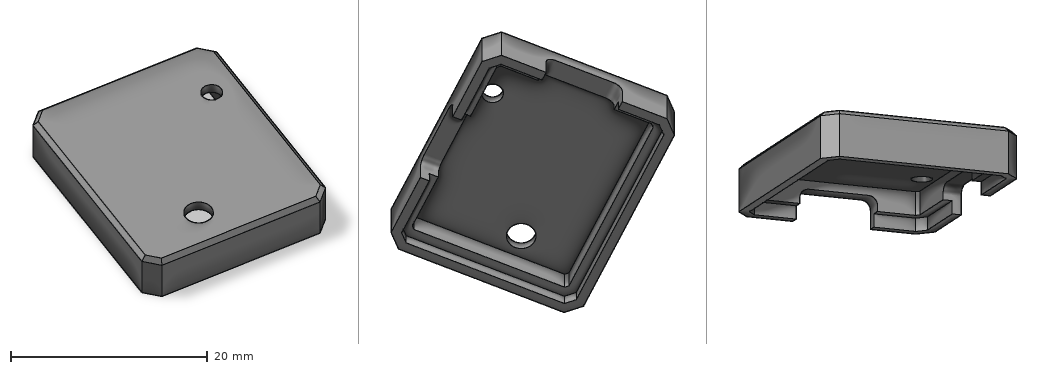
import cadquery as cq
import math

LENGTH = 25.5
WIDTH = 21.5
HEIGHT = 5.0
CORNER_CHAMFER = 1.5
TOP_CHAMFER = 0.5

ROOF_THICKNESS = 1.1
WALL_THICKNESS = 2.0
REBATE_WALL_THICKNESS = 1.0
REBATE_DEPTH = 1.4

OPENING_HEIGHT = 3.0
OPENING_CORNER_RADIUS = 1.0
LEFT_OPENING_WIDTH = 8.5
BACK_OPENING_WIDTH = 8.0

ROOF_HOLES = [
    (-6.0, 7.2, 2.2),
    (8.4, -2.5, 3.0),
]


def chamfered_block(inset, height):
    """Block on z = 0 whose outline is the body outline moved inward by inset."""
    corner = CORNER_CHAMFER - inset * (2 - math.sqrt(2))
    return (
        cq.Workplane("XY")
        .box(LENGTH - 2 * inset, WIDTH - 2 * inset, height, centered=(True, True, False))
        .edges("|Z")
        .chamfer(corner)
    )


def wall_opening(width, depth):
    """Cutter for an opening with rounded upper corners, running from the origin along +Y."""
    return (
        cq.Workplane("XY")
        .box(width, depth, OPENING_HEIGHT, centered=(True, False, False))
        .edges("|Y and >Z")
        .fillet(OPENING_CORNER_RADIUS)
    )


def make_body():
    return chamfered_block(0, HEIGHT).faces(">Z").chamfer(TOP_CHAMFER)


def cut_underside(part):
    cavity = chamfered_block(WALL_THICKNESS, HEIGHT - ROOF_THICKNESS)
    rebate = chamfered_block(REBATE_WALL_THICKNESS, REBATE_DEPTH)
    return part.cut(cavity).cut(rebate)


def cut_wall_openings(part):
    back = wall_opening(BACK_OPENING_WIDTH, WALL_THICKNESS)
    back = back.translate((0, WIDTH / 2 - WALL_THICKNESS, 0))
    left = wall_opening(LEFT_OPENING_WIDTH, WALL_THICKNESS)
    left = left.rotate((0, 0, 0), (0, 0, 1), -90).translate((-LENGTH / 2, 0, 0))
    return part.cut(back).cut(left)


def cut_roof_holes(part):
    for x, y, diameter in ROOF_HOLES:
        hole = cq.Workplane("XY").center(x, y).circle(diameter / 2).extrude(HEIGHT)
        part = part.cut(hole)
    return part


result = cut_roof_holes(cut_wall_openings(cut_underside(make_body())))